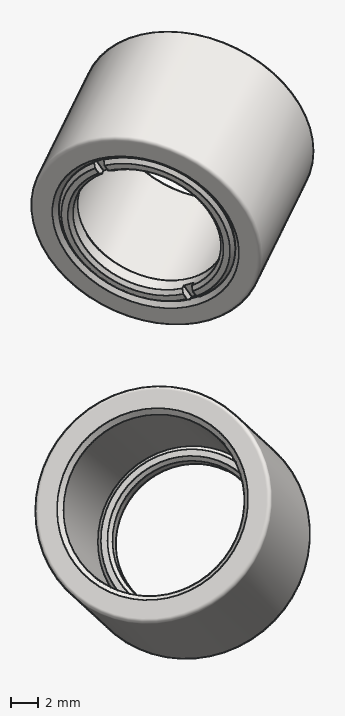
import cadquery as cq

outer_diameter = 17.8
housing_length = 12.5
outer_edge_fillet = 0.3
housing_bore_diameter = 13.6
bore_mouth_chamfer = 0.4

ring_bore_diameter = 11.4
ring_width = 1.69
ring_edge_chamfer = 0.3
slot_width = 0.87
slot_depth = 0.64
slot_angle = 57.0

front_y = -housing_length / 2


def tube(outside_diameter, bore_diameter, length):
    """Plain tube that runs from the front face toward +Y."""
    front_plane = cq.Plane(origin=(0, front_y, 0), xDir=(1, 0, 0), normal=(0, 1, 0))
    return (
        cq.Workplane(front_plane)
        .circle(outside_diameter / 2)
        .circle(bore_diameter / 2)
        .extrude(length)
    )


def make_housing():
    """Barrel with rounded outer edges and a bore chamfered at both mouths."""
    body = tube(outer_diameter, housing_bore_diameter, housing_length)
    outer_circles = cq.selectors.RadiusNthSelector(-1)
    bore_circles = cq.selectors.RadiusNthSelector(0)
    body = body.edges(bore_circles).chamfer(bore_mouth_chamfer)
    return body.edges(outer_circles).fillet(outer_edge_fillet)


def make_retaining_ring():
    """Ring flush with the front of the housing, with a spanner slot on each side."""
    ring = tube(housing_bore_diameter, ring_bore_diameter, ring_width)
    ring = ring.edges("%CIRCLE").chamfer(ring_edge_chamfer)

    slot_bar = (
        cq.Workplane("XY")
        .box(housing_bore_diameter, slot_depth, slot_width)
        .translate((0, front_y + slot_depth / 2, 0))
    )
    return ring.cut(slot_bar).rotate((0, 0, 0), (0, 1, 0), slot_angle)


housing = make_housing().solids()
retaining_ring = make_retaining_ring().solids()

result = cq.Compound.makeCompound([housing.val(), retaining_ring.val()])